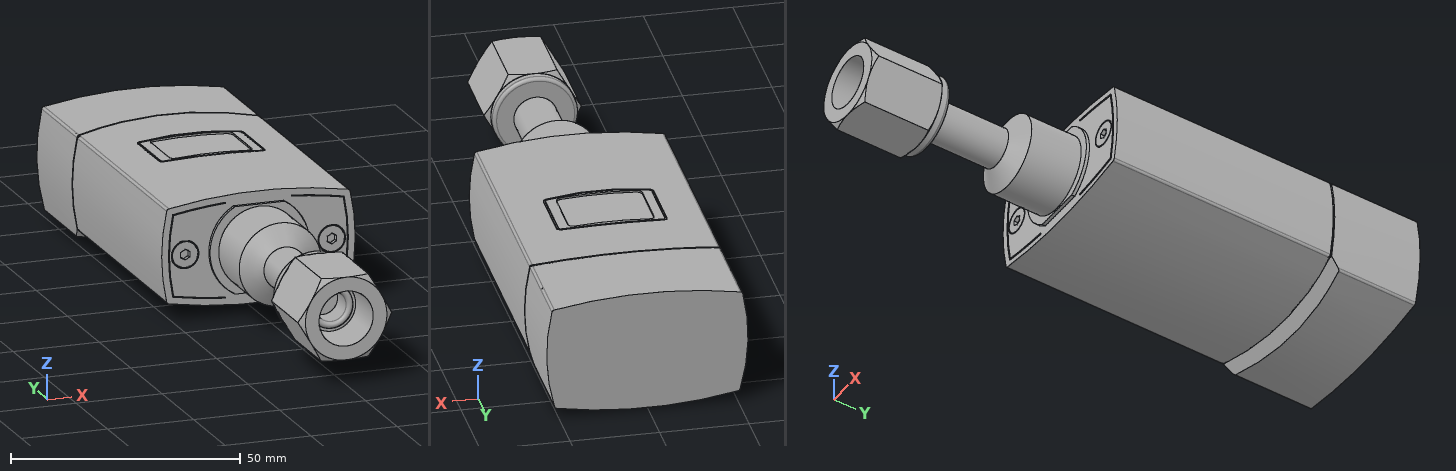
import cadquery as cq
import math


housing_length = 79.5
housing_width = 45.0
side_radius = 46.7
crown_height = 12.8
corner_height = 10.8
corner_radius = 0.7
cap_drop = 2.3

cap_length = 22.4
seam_bend_height = 10.7
seam_width = 0.4
seam_depth = 0.4

plate_margin = 1.6
plate_groove_width = 0.2
plate_groove_depth = 0.1
plate_gap_half_width = 7.7

screw_offset = 17.0
screw_seat_diameter = 6.3
screw_head_diameter = 6.0
screw_gap_depth = 0.7
socket_corner_diameter = 2.4
socket_depth = 1.1

window_center_y = 36.3
window_width = 19.2
window_length = 14.2
window_depth = 0.4
window_corner_radius = 1.2
frame_width = 24.6
frame_side_length = 15.1
frame_middle_length = 16.8
frame_corner_radius = 1.0
frame_groove_width = 0.4
frame_groove_depth = 0.3

flange_diameter = 23.1
flange_across_flats = 20.0
flange_thickness = 0.8
boss_diameter = 19.0
boss_end = 13.8
cone_end = 16.8
tube_diameter = 9.7
gland_diameter = 11.3
gland_length = 2.7
lip_outer_diameter = 10.0
lip_inner_diameter = 6.9
tube_bore_depth = 5.4

nut_start = 35.0
nut_end = 55.7
collar_length = 2.3
collar_diameter = 19.0
collar_fillet = 0.8
hex_across_flats = 18.9
hex_chamfer_diameter = 18.9
hex_chamfer_angle = 30
nut_bore_diameter = 12.5
nut_bore_depth = 12.2

side_half_width = housing_width / 2
section_height = 4 * crown_height
seam_y = housing_length - cap_length
gland_shoulder = nut_end - nut_bore_depth
gland_face = gland_shoulder + gland_length


def forward_plane(distance):
    """XZ plane in front of the housing, facing -Y; its local axes are X and Z."""
    return cq.Workplane("XZ", origin=(0, -distance, 0))


def cylinder_forward(diameter, start, end):
    return forward_plane(start).circle(diameter / 2).extrude(end - start)


def side_x(height):
    """Half width of the bowed side at a given height."""
    return side_half_width - side_radius + math.sqrt(side_radius**2 - height**2)


def section(start_y, end_y, drop=0.0, inset=0.0):
    """Bar with bowed sides; drop lowers its bottom and inset shrinks it all round."""
    top = corner_height
    bottom = -corner_height - drop
    bar = (
        cq.Workplane("XZ", origin=(0, end_y, 0))
        .moveTo(-side_x(top), top)
        .threePointArc((0, crown_height), (side_x(top), top))
        .threePointArc((side_half_width, 0), (side_x(bottom), bottom))
        .threePointArc((0, -crown_height - drop), (-side_x(bottom), bottom))
        .threePointArc((-side_half_width, 0), (-side_x(top), top))
        .close()
    )
    if inset:
        return bar.offset2D(-inset, "intersection").extrude(end_y - start_y)
    return bar.extrude(end_y - start_y).edges("|Y").fillet(corner_radius)


def behind_seam(shift):
    """Everything behind the bent seam, moved along Y by shift."""
    bend_y = seam_y + shift
    reach = section_height - seam_bend_height
    return (
        cq.Workplane("YZ")
        .moveTo(bend_y, -seam_bend_height)
        .lineTo(bend_y, seam_bend_height)
        .lineTo(bend_y + reach, section_height)
        .lineTo(bend_y + 2 * reach, section_height)
        .lineTo(bend_y + 2 * reach, -section_height)
        .lineTo(bend_y + reach, -section_height)
        .close()
        .extrude(2 * side_half_width, both=True)
    )


def make_case():
    """Housing with the deeper rear cap, parted by a shallow seam groove."""
    core = section(0, housing_length, inset=seam_depth)
    seam = behind_seam(-seam_width).cut(behind_seam(0)).cut(core)
    front = section(0, housing_length).cut(seam)
    cap = section(seam_y, housing_length, drop=cap_drop).intersect(behind_seam(0))
    return front.union(cap)


def plate_grooves():
    """Thin grooves outlining the front plate, left open above and below the stem."""
    outer = section(0, plate_groove_depth, inset=plate_margin)
    inner = section(0, plate_groove_depth, inset=plate_margin + plate_groove_width)
    gap = cq.Workplane("XY").box(2 * plate_gap_half_width, housing_length, section_height)
    return outer.cut(inner).cut(gap)


def screw_recess(x):
    """Ring gap around a flush screw head, with its hexagon socket."""
    face = cq.Workplane("XZ", origin=(x, 0, 0))
    gap = (
        face.circle(screw_seat_diameter / 2)
        .circle(screw_head_diameter / 2)
        .extrude(-screw_gap_depth)
    )
    socket = (
        face.transformed(rotate=(0, 0, 90))
        .polygon(6, socket_corner_diameter)
        .extrude(-socket_depth)
    )
    return gap.union(socket)


def window_recess():
    """Rounded window whose floor follows the bowed top."""
    block = (
        cq.Workplane("XY", origin=(0, window_center_y, 0))
        .rect(window_width, window_length)
        .extrude(section_height)
        .edges("|Z")
        .fillet(window_corner_radius)
    )
    return block.cut(section(0, housing_length, inset=window_depth))


def frame_groove():
    """Narrow groove around the window, with bowed front and rear runs."""
    half_width = frame_width / 2
    half_side = frame_side_length / 2
    half_middle = frame_middle_length / 2
    outer = (
        cq.Workplane("XY", origin=(0, window_center_y, 0))
        .moveTo(-half_width, half_side)
        .threePointArc((0, half_middle), (half_width, half_side))
        .lineTo(half_width, -half_side)
        .threePointArc((0, -half_middle), (-half_width, -half_side))
        .close()
        .extrude(section_height)
        .edges("|Z")
        .fillet(frame_corner_radius)
    )
    inner = outer.faces("<Z").wires().toPending().offset2D(-frame_groove_width).extrude(
        section_height, combine=False
    )
    return outer.cut(inner).cut(section(0, housing_length, inset=frame_groove_depth))


def make_stem():
    """Flange, boss, cone, tube and gland head with its rounded sealing lip."""
    flange = cylinder_forward(flange_diameter, 0, flange_thickness).intersect(
        cq.Workplane("XY").box(flange_diameter, housing_length, flange_across_flats)
    )
    lip_radius = (lip_outer_diameter - lip_inner_diameter) / 4
    profile = (
        cq.Workplane("XY")
        .lineTo(boss_diameter / 2, 0)
        .lineTo(boss_diameter / 2, -boss_end)
        .lineTo(tube_diameter / 2, -cone_end)
        .lineTo(tube_diameter / 2, -gland_shoulder)
        .lineTo(gland_diameter / 2, -gland_shoulder)
        .lineTo(gland_diameter / 2, -gland_face)
        .lineTo(lip_outer_diameter / 2, -gland_face)
        .threePointArc(
            (lip_outer_diameter / 2 - lip_radius, -gland_face - lip_radius),
            (lip_inner_diameter / 2, -gland_face),
        )
        .lineTo(lip_inner_diameter / 2, -gland_face + tube_bore_depth)
        .lineTo(0, -gland_face + tube_bore_depth)
        .close()
    )
    return flange.union(profile.revolve(360, (0, 0, 0), (0, 1, 0)))


def make_sensor():
    """Housing and stem as one body."""
    sensor = make_case().cut(plate_grooves()).cut(window_recess()).cut(frame_groove())
    for x in (-screw_offset, screw_offset):
        sensor = sensor.cut(screw_recess(x))
    return sensor.union(make_stem())


def make_nut():
    """Hexagon coupling nut with a round collar, held behind the gland head."""
    hex_start = nut_start + collar_length
    corner_diameter = hex_across_flats / math.cos(math.pi / 6)
    chamfer_width = (corner_diameter - hex_chamfer_diameter) / 2
    chamfer_length = chamfer_width * math.tan(math.radians(hex_chamfer_angle))
    hexagon = forward_plane(hex_start).polygon(6, corner_diameter).extrude(nut_end - hex_start)
    envelope = (
        cylinder_forward(corner_diameter, hex_start, nut_end)
        .edges()
        .chamfer(chamfer_length, chamfer_width)
    )
    collar = cylinder_forward(collar_diameter, nut_start, hex_start)
    collar = collar.faces(">Y").edges().fillet(collar_fillet)
    return (
        hexagon.intersect(envelope)
        .union(collar)
        .cut(cylinder_forward(tube_diameter, nut_start, nut_end))
        .cut(cylinder_forward(nut_bore_diameter, gland_shoulder, nut_end))
    )


sensor = make_sensor()
nut = make_nut()

result = cq.Compound.makeCompound([sensor.val(), nut.val()])